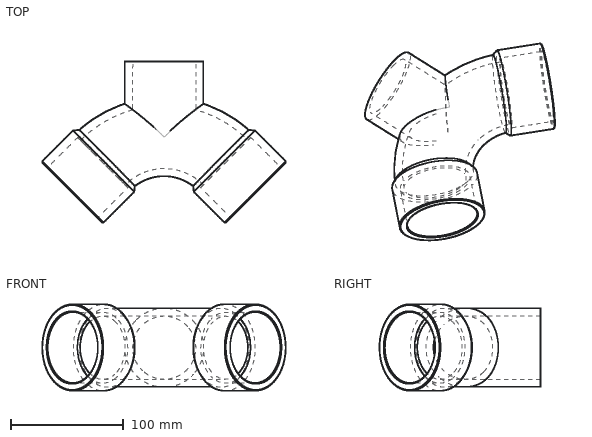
import cadquery as cq
import math

overall_width = 216.2
pipe_diameter = 70.0
pipe_bore = 56.0
socket_diameter = 77.0
socket_bore = 63.0
bend_angle = 90
socket_depth = 38.0
collar_length = 43.9
taper_length = 4.3
mouth_chamfer = 0.9
bore_chamfer = 0.9
branch_end_y = 143.1

half_angle = math.radians(bend_angle / 2)
mouth_edge_radius = socket_diameter / 2 - mouth_chamfer
mouth_center_x = overall_width / 2 - mouth_edge_radius * math.cos(half_angle)
bend_radius = mouth_center_x / math.sin(half_angle) - socket_depth / math.tan(half_angle)
bend_center_y = (
    socket_depth * math.cos(half_angle)
    + mouth_edge_radius * math.sin(half_angle)
    - bend_radius * math.cos(half_angle)
)
bend_start = (
    -bend_radius * math.sin(half_angle),
    bend_center_y + bend_radius * math.cos(half_angle),
)


def mouth_plane(side):
    """Plane on a socket mouth, normal pointing into the fitting; side is -1 or 1."""
    inward = (-side * math.cos(half_angle), math.sin(half_angle), 0)
    origin = (
        -side * bend_start[0] - socket_depth * inward[0],
        bend_start[1] - socket_depth * inward[1],
        0,
    )
    return cq.Plane(origin=origin, xDir=(0, 0, 1), normal=inward)


def bend(diameter):
    """Round bar swept along the bend, symmetric about the YZ plane."""
    path = cq.Workplane("XY").moveTo(*bend_start).threePointArc(
        (0, bend_center_y + bend_radius), (-bend_start[0], bend_start[1])
    )
    start_plane = cq.Plane(
        origin=(*bend_start, 0),
        xDir=(0, 0, 1),
        normal=(math.cos(half_angle), math.sin(half_angle), 0),
    )
    return cq.Workplane(start_plane).circle(diameter / 2).sweep(path)


def branch(diameter):
    """Straight bar from the bend centreline to the branch end."""
    start_y = bend_center_y + bend_radius
    plane = cq.Plane(origin=(0, start_y, 0), xDir=(1, 0, 0), normal=(0, 1, 0))
    return cq.Workplane(plane).circle(diameter / 2).extrude(branch_end_y - start_y)


def cone(side, start, length, start_radius, end_radius):
    """Cone on a socket axis, beginning at a distance inward from the mouth."""
    return (
        cq.Workplane(mouth_plane(side))
        .workplane(offset=start)
        .circle(start_radius)
        .workplane(offset=length)
        .circle(end_radius)
        .loft()
    )


def collar(side):
    """Socket body with a small mouth chamfer and a rear taper down to the pipe."""
    straight_length = collar_length - taper_length
    body = cq.Workplane(mouth_plane(side)).circle(socket_diameter / 2).extrude(straight_length)
    inward = mouth_plane(side).zDir
    body = body.faces(cq.selectors.DirectionMinMaxSelector(inward, False)).chamfer(mouth_chamfer)
    taper = cone(side, straight_length, taper_length, socket_diameter / 2, pipe_diameter / 2)
    return body.union(taper)


def socket_cavity(side):
    """Socket bore down to its stop, flared at the mouth."""
    bore = cq.Workplane(mouth_plane(side)).circle(socket_bore / 2).extrude(socket_depth)
    flare = cone(side, 0, bore_chamfer, socket_bore / 2 + bore_chamfer, socket_bore / 2)
    return bore.union(flare)


result = bend(pipe_diameter).union(branch(pipe_diameter))
for side in (-1, 1):
    result = result.union(collar(side))

result = result.cut(bend(pipe_bore)).cut(branch(pipe_bore))
for side in (-1, 1):
    result = result.cut(socket_cavity(side))